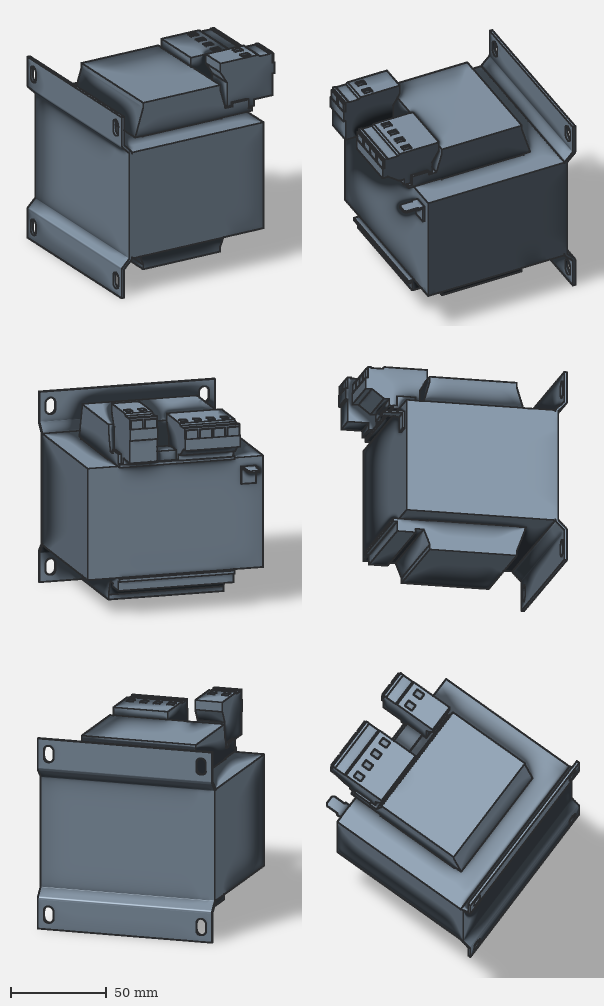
import cadquery as cq
import math


width = 96.0
bracket_height = 102.4
mid_z = bracket_height / 2
overall_height = 111.3
overall_depth = 104.0

sheet = 1.6
panel_offset = 4.8
flange_height = 16.7
inner_bend_radius = 0.8
slot_width = 5.5
slot_length = 8.9
slot_spacing_x = 84.0
slot_spacing_z = 86.5

core_height = 60.0
limb = width / 6
core_front = panel_offset + sheet
core_depth = 5 * limb
core_back = core_front + core_depth
core_top = mid_z + core_height / 2
core_bottom = mid_z - core_height / 2
window_front = core_front + limb
window_back = core_back - limb
window_half_width = width / 2 - limb

bobbin_width = 63.0
coil_front = 23.0
coil_back = 69.9
coil_front_foot = 18.1
coil_back_foot = 73.1
coil_edge = 2.7
coil_top = 99.8
coil_bottom = 5.6
lip_back = 89.5
lip_thickness = 1.6
step_back = 87.4
step_front = 77.5
step_height = 6.8
seat_height = 4.9

terminal_width = 15.0
low_terminal_drop = 7.5
low_terminal_starts = (-2 * terminal_width, -terminal_width)
high_terminal_starts = (terminal_width,)
terminal_front = 70.9
terminal_neck_front = 74.9
terminal_face = 102.7
terminal_foot_back = 91.4
terminal_foot_bottom = 83.0
terminal_shoulder = 86.6
front_face_height = 5.1
neck_drop = 11.7
nose_top_drop = 6.3
nose_height = 6.1
nose_slope_start = 100.6
nose_slope_end = 94.2
ridge_front = 101.0
ridge_drop = 0.6
recess_drop = 1.0
recess_front = 94.9
recess_ramp = 1.0

opening_width = 3.5
opening_length = 4.6
opening_depth = 1.3
opening_y = 88.1

tab_projection = 1.0
tab_height = 4.7
tab_top_drop = 1.7
tab_side_inset = 0.5
tab_gap = 1.3

earth_x = -39.8
earth_sheet = 1.0
earth_top = 76.2
earth_base_width = 8.0
earth_base_height = 9.2
earth_shoulder_back = 89.8
earth_blade_width = 6.5
earth_blade_end = 97.6
earth_blade_chamfer = 1.0


def extrude_profile(points, x_start, x_length):
    """Extrude a closed outline of (Y, Z) points along X."""
    return cq.Workplane("YZ", origin=(x_start, 0, 0)).polyline(points).close().extrude(x_length)


def box_between(x_range, y_range, z_range):
    """Box given by its lower and upper limit on each axis."""
    (x0, x1), (y0, y1), (z0, z1) = x_range, y_range, z_range
    return cq.Workplane("XY").box(x1 - x0, y1 - y0, z1 - z0, centered=False).translate((x0, y0, z0))


def make_bracket():
    """Flat panel with a flange at each end, joggled forward through two 45 degree bends."""
    bend_shift = sheet * math.tan(math.radians(22.5))
    panel_start = flange_height + panel_offset
    lower_front = [(0, 0), (0, flange_height), (panel_offset, panel_start)]
    lower_back = [
        (core_front, panel_start - bend_shift),
        (sheet, flange_height - bend_shift),
        (sheet, 0),
    ]
    upper_front = [(y, bracket_height - z) for y, z in reversed(lower_front)]
    upper_back = [(y, bracket_height - z) for y, z in reversed(lower_back)]
    bracket = extrude_profile(lower_front + upper_front + upper_back + lower_back, -width / 2, width)

    outer_bends = [lower_front[1], upper_front[1], lower_back[0], upper_back[2]]
    inner_bends = [lower_front[2], upper_front[0], lower_back[1], upper_back[1]]
    for corners, radius in ((outer_bends, inner_bend_radius + sheet), (inner_bends, inner_bend_radius)):
        for y, z in corners:
            bracket = bracket.edges(cq.selectors.NearestToPointSelector((0, y, z))).fillet(radius)

    slots = (
        cq.Workplane("XZ", origin=(0, 0, mid_z))
        .rarray(slot_spacing_x, slot_spacing_z, 2, 2)
        .slot2D(slot_length, slot_width, 90)
        .extrude(-sheet)
    )
    return bracket.cut(slots)


def make_core():
    """Lamination stack with its winding window open from top to bottom."""
    core = box_between((-width / 2, width / 2), (core_front, core_back), (core_bottom, core_top))
    window = box_between(
        (-window_half_width, window_half_width), (window_front, window_back), (core_bottom, core_top)
    )
    return core.cut(window)


def make_coil():
    """Coil and bobbin, leaving a narrow gap to the outer limbs of the core."""
    upper_front = [
        (coil_front_foot, core_top),
        (coil_front, coil_top - coil_edge),
        (coil_front, coil_top),
        (coil_back, coil_top),
        (coil_back, coil_top - coil_edge),
    ]
    lower_front = [
        (coil_back, coil_bottom + coil_edge),
        (coil_back, coil_bottom),
        (coil_front, coil_bottom),
        (coil_front, coil_bottom + coil_edge),
        (coil_front_foot, core_bottom),
    ]
    seat = [
        (coil_back_foot, seat_height),
        (step_front, seat_height),
        (step_front, step_height),
        (step_back, step_height),
        (step_back, lip_thickness),
        (lip_back, lip_thickness),
        (lip_back, 0),
        (window_back, 0),
    ]
    upper_seat = [(y, core_top + height) for y, height in seat]
    lower_seat = [(y, core_bottom - height) for y, height in reversed(seat)]
    core_side = [(window_front, core_bottom), (window_front, core_top)]
    outline = upper_front + upper_seat + lower_seat + lower_front + core_side
    return extrude_profile(outline, -bobbin_width / 2, bobbin_width)


def make_terminal(x_start, top, straight_back):
    """Terminal block with a clamp nose, wire openings and a pair of clamp tabs."""
    nose_top = top - nose_top_drop
    nose_bottom = nose_top - nose_height
    if straight_back:
        below_nose = [(terminal_face, nose_bottom), (terminal_face, terminal_shoulder)]
    else:
        below_nose = [(nose_slope_start, nose_bottom), (nose_slope_end, terminal_shoulder)]
    outline = [
        (terminal_neck_front, terminal_foot_bottom),
        (terminal_neck_front, top - neck_drop),
        (terminal_front, top - front_face_height),
        (terminal_front, top),
        (recess_front - recess_ramp, top),
        (recess_front, top - recess_drop),
        (ridge_front, top - recess_drop),
        (ridge_front, top - ridge_drop),
        (terminal_face, top - ridge_drop),
        (terminal_face, nose_top),
        (overall_depth, nose_top),
        (overall_depth, nose_bottom),
        *below_nose,
        (terminal_foot_back, terminal_shoulder),
        (terminal_foot_back, terminal_foot_bottom),
    ]
    terminal = extrude_profile(outline, x_start, terminal_width)

    x_middle = x_start + terminal_width / 2
    openings = (
        cq.Workplane("XY", origin=(x_middle, opening_y, top))
        .rarray(terminal_width / 2, 1.1, 2, 1)
        .rect(opening_width, opening_length)
        .extrude(-opening_depth)
    )
    tab_width = (terminal_width - tab_gap) / 2 - tab_side_inset
    tab_top = top - tab_top_drop
    for tab_start in (x_start + tab_side_inset, x_middle + tab_gap / 2):
        tab = box_between(
            (tab_start, tab_start + tab_width),
            (terminal_face, terminal_face + tab_projection),
            (tab_top - tab_height, tab_top),
        )
        terminal = terminal.union(tab)
    return terminal.cut(openings)


def make_earth_tab():
    """Sheet metal angle: a base against the back of the core and a blade pointing backwards."""
    half_base = earth_base_width / 2
    base_x = (earth_x - half_base, earth_x + half_base)
    base = box_between(
        base_x, (core_back, core_back + earth_sheet), (earth_top - earth_base_height, earth_top)
    )
    shoulder = box_between(base_x, (core_back, earth_shoulder_back), (earth_top - earth_sheet, earth_top))
    half_blade = earth_blade_width / 2
    blade = box_between(
        (earth_x - half_blade, earth_x + half_blade),
        (core_back, earth_blade_end),
        (earth_top - earth_sheet, earth_top),
    )
    blade = blade.edges("|Z and >Y").chamfer(earth_blade_chamfer)
    return base.union(shoulder).union(blade)


result = make_bracket().union(make_core()).union(make_coil()).union(make_earth_tab())
for start in low_terminal_starts:
    result = result.union(make_terminal(start, overall_height - low_terminal_drop, straight_back=False))
for start in high_terminal_starts:
    result = result.union(make_terminal(start, overall_height, straight_back=True))